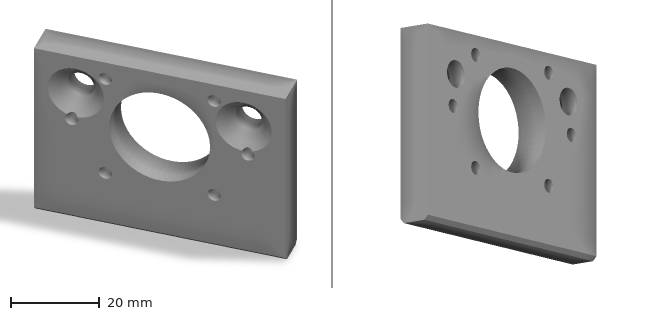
import cadquery as cq

width = 60.0
thickness = 8.0
height = 45.0
bottom_chamfer = 1.0

bore_diameter = 24.0
bore_z = height / 2 - 17.5

small_hole_diameter = 3.2
square_pitch = 26.0
side_hole_spacing = 42.0

mount_hole_diameter = 6.3
countersink_diameter = 13.3
countersink_angle = 90
mount_spacing = 40.0
mount_z = height / 2 - 10.0


def front_face(body):
    """Workplane on the front (-Y) face, with local axes along X and Z."""
    return body.faces("<Y").workplane(origin=(0, 0, 0))


def make_plate():
    plate = cq.Workplane("XY").box(width, thickness, height)
    return plate.faces("<Z").edges("|X").chamfer(bottom_chamfer)


def cut_bore(body):
    return front_face(body).center(0, bore_z).hole(bore_diameter)


def cut_countersunk_holes(body):
    mount_points = [(side * mount_spacing / 2, mount_z) for side in (-1, 1)]
    return (
        front_face(body)
        .pushPoints(mount_points)
        .cskHole(mount_hole_diameter, countersink_diameter, countersink_angle)
    )


def cut_small_holes(body):
    body = (
        front_face(body)
        .center(0, bore_z)
        .rarray(square_pitch, square_pitch, 2, 2)
        .hole(small_hole_diameter)
    )
    side_points = [(side * side_hole_spacing / 2, bore_z) for side in (-1, 1)]
    return front_face(body).pushPoints(side_points).hole(small_hole_diameter)


result = make_plate()
result = cut_bore(result)
result = cut_countersunk_holes(result)
result = cut_small_holes(result)